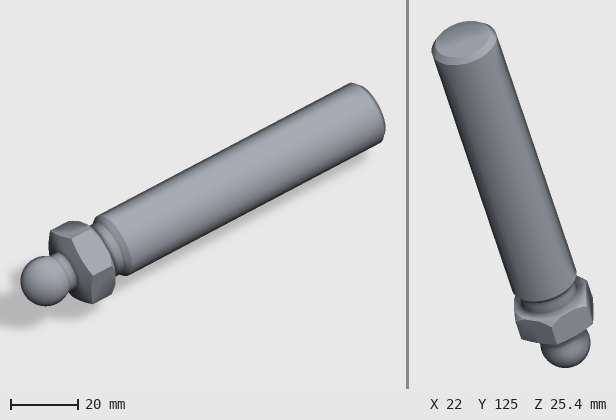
import cadquery as cq
import math

length = 125.0
ball_radius = 7.5
neck_radius = 6.0

across_flats = 22.0
corner_radius = across_flats / 2 / math.cos(math.pi / 6)
hex_front = 14.6
hex_back = 25.1
front_cone_length = 2.2
back_chamfer_length = 1.5
back_face_radius = 11.2

groove_radius = 8.5
groove_fillet = 1.1
shank_radius = 10.0
groove_end = 30.0
shank_start = 31.9
end_chamfer_length = 1.8
end_face_radius = 8.4


def revolve_about_y(outline):
    return outline.close().revolve(360, (0, 0, 0), (0, 1, 0))


def make_ball_and_neck():
    ball = cq.Workplane("XY").sphere(ball_radius).translate((0, ball_radius, 0))
    neck = revolve_about_y(
        cq.Workplane("XY")
        .moveTo(0, ball_radius)
        .lineTo(neck_radius, ball_radius)
        .lineTo(neck_radius, hex_front)
        .lineTo(0, hex_front)
    )
    return ball.union(neck)


def make_collar():
    prism = (
        cq.Workplane("XZ", origin=(0, hex_front, 0))
        .polygon(6, 2 * corner_radius)
        .extrude(hex_front - hex_back)
        .rotate((0, 0, 0), (0, 1, 0), 30)
    )
    envelope = revolve_about_y(
        cq.Workplane("XY")
        .moveTo(0, hex_front)
        .lineTo(neck_radius, hex_front)
        .lineTo(corner_radius, hex_front + front_cone_length)
        .lineTo(corner_radius, hex_back - back_chamfer_length)
        .lineTo(back_face_radius, hex_back)
        .lineTo(0, hex_back)
    )
    return prism.intersect(envelope)


def make_shank():
    fillet_mid = groove_fillet * (1 - math.sqrt(0.5))
    return revolve_about_y(
        cq.Workplane("XY")
        .moveTo(0, hex_back)
        .lineTo(groove_radius + groove_fillet, hex_back)
        .threePointArc(
            (groove_radius + fillet_mid, hex_back + fillet_mid),
            (groove_radius, hex_back + groove_fillet),
        )
        .lineTo(groove_radius, groove_end)
        .lineTo(shank_radius, shank_start)
        .lineTo(shank_radius, length - end_chamfer_length)
        .lineTo(end_face_radius, length)
        .lineTo(0, length)
    )


result = make_ball_and_neck().union(make_collar()).union(make_shank())